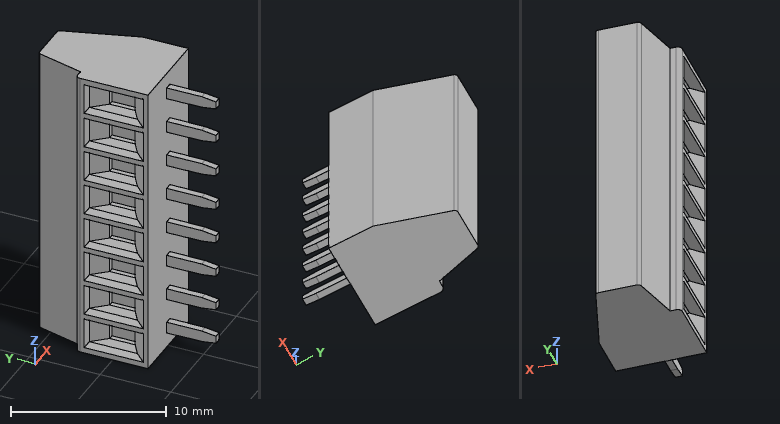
import cadquery as cq


HEIGHT = 20.78
POLES = 8
END_MARGIN = 1.5
PITCH = (HEIGHT - 2 * END_MARGIN) / (POLES - 1)

WIDTH = 6.2
DEPTH = 8.5
STEP_Y = 5.11
STEP_WIDTH = 0.73
STEP_RADIUS = 0.31
TOP_START_X = 1.62
TOP_END_X = 4.61
TOP_RADIUS = 0.25
BACK_CORNER_Y = 3.25

MOUTH_Y_MIN = 0.33
MOUTH_Y_MAX = 4.5
MOUTH_HEIGHT = 2.16
MOUTH_DEPTH = 0.8
SOCKET_Y_MIN = 1.41
SOCKET_Y_MAX = 3.22
SOCKET_HEIGHT = 1.48
SOCKET_RISE = 0.06
FUNNEL_DEPTH = 0.31
SOCKET_DEPTH = 0.35

PIN_LENGTH = 3.5
PIN_STRAIGHT = 2.5
PIN_THICKNESS = 0.5
PIN_HEIGHT = 0.81
PIN_TIP_HEIGHT = 0.55


def make_housing():
    outline = [
        (0, 0),
        (WIDTH, 0),
        (WIDTH, BACK_CORNER_Y),
        (TOP_END_X, DEPTH),
        (TOP_START_X, DEPTH),
        (STEP_WIDTH, STEP_Y),
        (0, STEP_Y),
    ]
    block = cq.Workplane("XY").polyline(outline).close().extrude(HEIGHT)
    block = block.edges("|Z").edges(">Y").fillet(TOP_RADIUS)
    step_corner = cq.selectors.NearestToPointSelector((0, STEP_Y, HEIGHT / 2))
    return block.edges(step_corner).fillet(STEP_RADIUS)


def make_wire_entry():
    """Cavity centred on Z = 0: the overlap of its plan and its side profile."""
    socket_start = MOUTH_DEPTH + FUNNEL_DEPTH
    socket_end = socket_start + SOCKET_DEPTH

    plan_points = [
        (0, MOUTH_Y_MIN),
        (socket_start, SOCKET_Y_MIN),
        (socket_end, SOCKET_Y_MIN),
        (socket_end, SOCKET_Y_MAX),
        (socket_start, SOCKET_Y_MAX),
        (MOUTH_DEPTH, MOUTH_Y_MAX),
        (0, MOUTH_Y_MAX),
    ]
    mouth_top = MOUTH_HEIGHT / 2
    socket_top = SOCKET_RISE + SOCKET_HEIGHT / 2
    socket_bottom = SOCKET_RISE - SOCKET_HEIGHT / 2
    side_points = [
        (0, -mouth_top),
        (MOUTH_DEPTH, -mouth_top),
        (socket_start, socket_bottom),
        (socket_end, socket_bottom),
        (socket_end, socket_top),
        (socket_start, socket_top),
        (MOUTH_DEPTH, mouth_top),
        (0, mouth_top),
    ]
    plan = cq.Workplane("XY").polyline(plan_points).close().extrude(mouth_top, both=True)
    side = cq.Workplane("XZ").polyline(side_points).close().extrude(-DEPTH)
    return plan.intersect(side)


def make_pin():
    """Flat pin centred on Z = 0, tapering in height towards its tip."""
    half_height = PIN_HEIGHT / 2
    half_tip = PIN_TIP_HEIGHT / 2
    outline = [
        (0, -half_height),
        (0, half_height),
        (-PIN_STRAIGHT, half_height),
        (-PIN_LENGTH, half_tip),
        (-PIN_LENGTH, -half_tip),
        (-PIN_STRAIGHT, -half_height),
    ]
    pin = cq.Workplane("YZ").polyline(outline).close().extrude(PIN_THICKNESS / 2, both=True)
    return pin.translate((WIDTH / 2, 0, 0))


result = make_housing()
wire_entry = make_wire_entry()
pin = make_pin()
for pole in range(POLES):
    pole_offset = (0, 0, END_MARGIN + pole * PITCH)
    result = result.cut(wire_entry.translate(pole_offset))
    result = result.union(pin.translate(pole_offset))